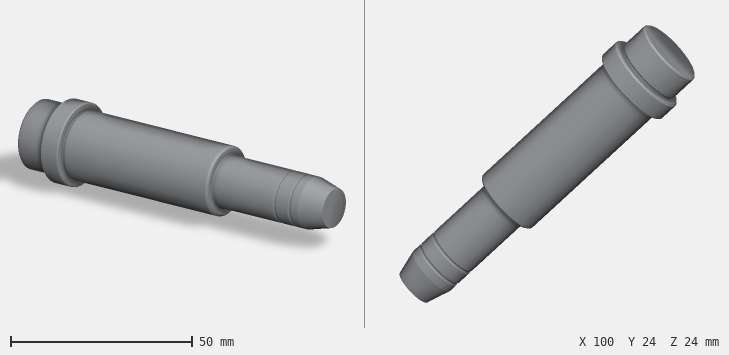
import cadquery as cq
import math

length = 100.0
shaft_radius = 20.0 / 2
collar_radius = 24.0 / 2
nose_radius = 15.0 / 2

collar_start = 9.0
collar_end = 15.0
shaft_end = 64.0
taper_start = 93.0

head_chamfer = 0.5
collar_front_chamfer = 0.5
collar_back_chamfer = 0.3
shaft_chamfer = 0.6
shoulder_fillet = 0.5
taper_angle = 15.0

undercut_width = 1.0
undercut_depth = 0.5

groove_centers = (85.0, 90.0)
groove_width = 1.0
groove_depth = 0.4


def add_groove(profile, start, width, radius, depth):
    """Cut a round-bottomed groove into a cylinder outline, ending at its far edge."""
    return (
        profile.lineTo(start, radius)
        .threePointArc((start + width / 2, radius - depth), (start + width, radius))
    )


tip_radius = nose_radius - (length - taper_start) * math.tan(math.radians(taper_angle))
fillet_offset = shoulder_fillet * (1 - math.sqrt(0.5))

profile = cq.Workplane("XY").lineTo(0, shaft_radius - head_chamfer).lineTo(head_chamfer, shaft_radius)
profile = add_groove(
    profile, collar_start - undercut_width, undercut_width, shaft_radius, undercut_depth
)

profile = (
    profile.lineTo(collar_start, collar_radius - collar_front_chamfer)
    .lineTo(collar_start + collar_front_chamfer, collar_radius)
    .lineTo(collar_end - collar_back_chamfer, collar_radius)
    .lineTo(collar_end, collar_radius - collar_back_chamfer)
)
profile = add_groove(profile, collar_end, undercut_width, shaft_radius, undercut_depth)

profile = (
    profile.lineTo(shaft_end - shaft_chamfer, shaft_radius)
    .lineTo(shaft_end, shaft_radius - shaft_chamfer)
    .lineTo(shaft_end, nose_radius + shoulder_fillet)
    .threePointArc(
        (shaft_end + fillet_offset, nose_radius + fillet_offset),
        (shaft_end + shoulder_fillet, nose_radius),
    )
)

for center in groove_centers:
    profile = add_groove(profile, center - groove_width / 2, groove_width, nose_radius, groove_depth)
profile = profile.lineTo(taper_start, nose_radius).lineTo(length, tip_radius).lineTo(length, 0).close()

result = profile.revolve(360, (0, 0, 0), (1, 0, 0))